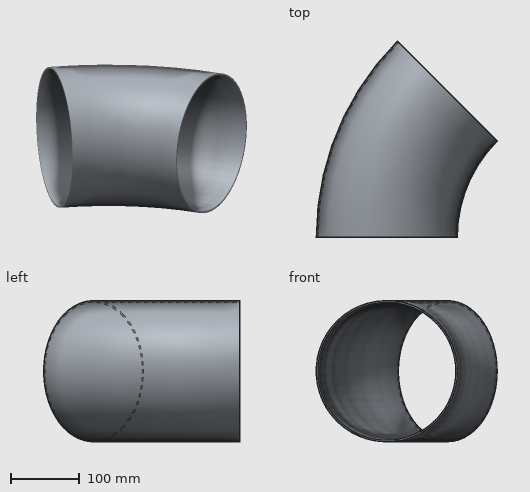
import cadquery as cq

outer_diameter = 205.0
wall = 2.5
bend_radius = 300.0
bend_angle = 45.0

outer_radius = outer_diameter / 2
inner_radius = outer_radius - wall


def make_elbow():
    """Pipe ring in the XZ plane at the origin, revolved from +Y toward +X."""
    ring = cq.Workplane("XZ").circle(outer_radius).circle(inner_radius)
    axis_start = (bend_radius, 0)
    axis_end = (bend_radius, -outer_radius)
    return ring.revolve(bend_angle, axis_start, axis_end)


result = make_elbow()